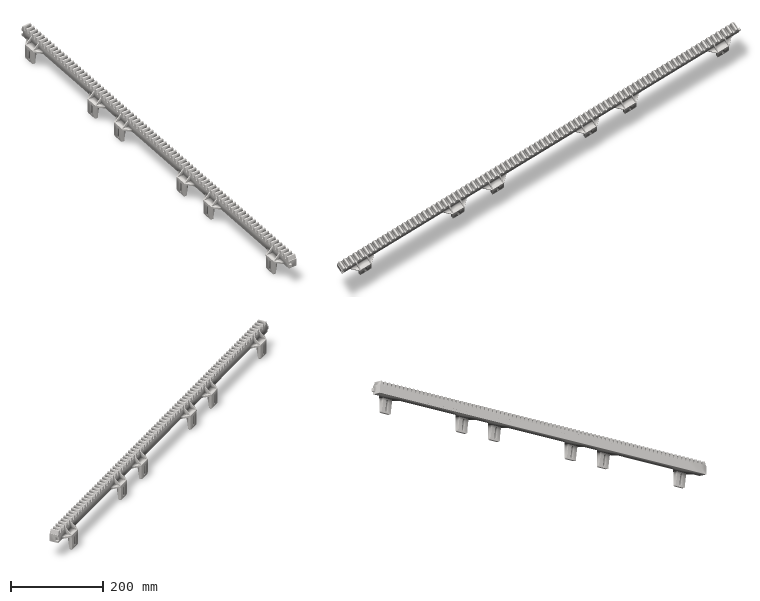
import cadquery as cq
import math

MODULE = 4.0
PRESSURE_ANGLE = 20.0
TEETH_PER_SEGMENT = 27
SEGMENTS = 3
ADDENDUM = MODULE
DEDENDUM = 1.25 * MODULE
PITCH = math.pi * MODULE
SEGMENT_LENGTH = TEETH_PER_SEGMENT * PITCH
RACK_LENGTH = SEGMENTS * SEGMENT_LENGTH
TOOTH_SHIFT = -0.3
FLANK_SLOPE = math.tan(math.radians(PRESSURE_ANGLE))

BAR_DEPTH = 20.0
BAR_HEIGHT = 28.0
PITCH_LINE_Z = BAR_HEIGHT - ADDENDUM
ROOT_Z = PITCH_LINE_Z - DEDENDUM

TONGUE_LENGTH = 4.5
TONGUE_WIDTH = 5.0
TONGUE_BOTTOM_Z = 5.0
TONGUE_HEIGHT = 7.5
NOTCH_DEPTH = 5.0
NOTCH_WIDTH = 6.0
NOTCH_BOTTOM_Z = 4.5
NOTCH_HEIGHT = 9.0

OVERALL_DEPTH = 35.5
OVERALL_HEIGHT = 60.0
BRACKET_INSET = 51.0
BRACKET_SPACING = 238.0
BRACKET_REACH = OVERALL_DEPTH - BAR_DEPTH
FLANGE_FRONT_WIDTH = 31.0
FLANGE_THICKNESS = 4.1
FLANGE_TOP_DRAFT = 1.0
FLANGE_COVE = 2.0
PLATE_BOTTOM_Z = BAR_HEIGHT - OVERALL_HEIGHT
PLATE_WIDTH = 30.0
PLATE_THICKNESS = 6.0
PLATE_CORNER_RADIUS = 3.0
PLATE_SIDE_DRAFT = 2.0
WEDGE_TOP_THICKNESS = 5.0
WEDGE_SIDE_INSET = 1.0
GUSSET_THICKNESS = 2.5
GUSSET_RUN = ROOT_Z - FLANGE_THICKNESS
SLOT_WIDTH = 6.5
SLOT_LENGTH = 26.0
SLOT_CENTER_Z = -15.5


def make_bar():
    """Toothed bar with one tooth per pitch, made as one profile."""
    tip_half = PITCH / 4 - ADDENDUM * FLANK_SLOPE
    root_half = PITCH / 4 + DEDENDUM * FLANK_SLOPE
    points = [(0, 0), (0, ROOT_Z)]
    for tooth in range(SEGMENTS * TEETH_PER_SEGMENT):
        center = (tooth + 0.5) * PITCH + TOOTH_SHIFT
        points += [
            (center - root_half, ROOT_Z),
            (center - tip_half, BAR_HEIGHT),
            (center + tip_half, BAR_HEIGHT),
            (center + root_half, ROOT_Z),
        ]
    points += [(RACK_LENGTH, ROOT_Z), (RACK_LENGTH, 0)]
    return cq.Workplane("XZ").polyline(points).close().extrude(BAR_DEPTH)


def make_notch():
    notch = cq.Workplane("XY").box(NOTCH_DEPTH, NOTCH_WIDTH, NOTCH_HEIGHT, centered=False)
    return notch.translate((0, -BAR_DEPTH, NOTCH_BOTTOM_Z))


def make_tongue():
    tongue = cq.Workplane("XY").box(TONGUE_LENGTH, TONGUE_WIDTH, TONGUE_HEIGHT, centered=False)
    return tongue.translate((RACK_LENGTH, -BAR_DEPTH, TONGUE_BOTTOM_Z))


def make_flange():
    """Trapezoid in plan with 45 degree sides; its drafted top is coved into the bar."""
    front_half = FLANGE_FRONT_WIDTH / 2
    back_half = front_half + BRACKET_REACH
    outline = [
        (-back_half, -BAR_DEPTH),
        (back_half, -BAR_DEPTH),
        (front_half, -OVERALL_DEPTH),
        (-front_half, -OVERALL_DEPTH),
    ]
    plan = cq.Workplane("XY").polyline(outline).close().extrude(ROOT_Z)

    fall = math.tan(math.radians(FLANGE_TOP_DRAFT))
    cove_end_z = FLANGE_THICKNESS + (BRACKET_REACH - FLANGE_COVE) * fall
    cove_sag = FLANGE_COVE * (1 - math.sqrt(0.5))
    section = (
        cq.Workplane("YZ")
        .moveTo(-OVERALL_DEPTH, 0)
        .lineTo(-OVERALL_DEPTH, FLANGE_THICKNESS)
        .lineTo(-BAR_DEPTH - FLANGE_COVE, cove_end_z)
        .threePointArc(
            (-BAR_DEPTH - cove_sag, cove_end_z + cove_sag),
            (-BAR_DEPTH, cove_end_z + FLANGE_COVE),
        )
        .lineTo(-BAR_DEPTH, 0)
        .close()
        .extrude(back_half, both=True)
    )
    return plan.intersect(section)


def make_plate():
    """Plate whose sides narrow toward its front face, with rounded lower corners."""
    height = FLANGE_THICKNESS - PLATE_BOTTOM_Z
    growth = PLATE_THICKNESS * math.tan(math.radians(PLATE_SIDE_DRAFT))
    front_half = PLATE_WIDTH / 2
    back_half = front_half + growth
    back_y = PLATE_THICKNESS - OVERALL_DEPTH
    outline = [
        (-back_half, back_y),
        (back_half, back_y),
        (front_half, -OVERALL_DEPTH),
        (-front_half, -OVERALL_DEPTH),
    ]
    plate = cq.Workplane("XY", origin=(0, 0, PLATE_BOTTOM_Z)).polyline(outline).close().extrude(height)
    bottom_end_edges = plate.faces("<Z").edges("not |X")
    return bottom_end_edges.fillet(PLATE_CORNER_RADIUS)


def make_wedge():
    """Stiffener behind the plate that tapers out at the plate's lower end."""
    back_y = PLATE_THICKNESS - OVERALL_DEPTH
    width = PLATE_WIDTH - 2 * WEDGE_SIDE_INSET
    outline = [
        (back_y, 0),
        (back_y + WEDGE_TOP_THICKNESS, 0),
        (back_y, PLATE_BOTTOM_Z),
    ]
    return cq.Workplane("YZ").polyline(outline).close().extrude(width / 2, both=True)


def make_gusset(side):
    """Triangular web whose outer face is flush with one side edge of the plate front."""
    outline = [
        (-BAR_DEPTH, FLANGE_THICKNESS),
        (-BAR_DEPTH, ROOT_Z),
        (-BAR_DEPTH - GUSSET_RUN, FLANGE_THICKNESS),
    ]
    center = side * (PLATE_WIDTH - GUSSET_THICKNESS) / 2
    web = cq.Workplane("YZ").polyline(outline).close().extrude(GUSSET_THICKNESS / 2, both=True)
    return web.translate((center, 0, 0))


def make_slot():
    slot = cq.Workplane("XZ", origin=(0, 0, SLOT_CENTER_Z)).slot2D(SLOT_LENGTH, SLOT_WIDTH, 90)
    return slot.extrude(OVERALL_DEPTH)


def make_bracket():
    bracket = make_flange().union(make_plate()).union(make_wedge())
    for side in (-1, 1):
        bracket = bracket.union(make_gusset(side))
    return bracket.cut(make_slot())


def make_rack():
    """Bar with its end joints and a pair of brackets on every segment."""
    rack = make_bar().union(make_tongue()).cut(make_notch())
    bracket = make_bracket()
    for segment in range(SEGMENTS):
        first_x = segment * SEGMENT_LENGTH + BRACKET_INSET
        for x in (first_x, first_x + BRACKET_SPACING):
            rack = rack.union(bracket.translate((x, 0, 0)))
    return rack


result = make_rack()